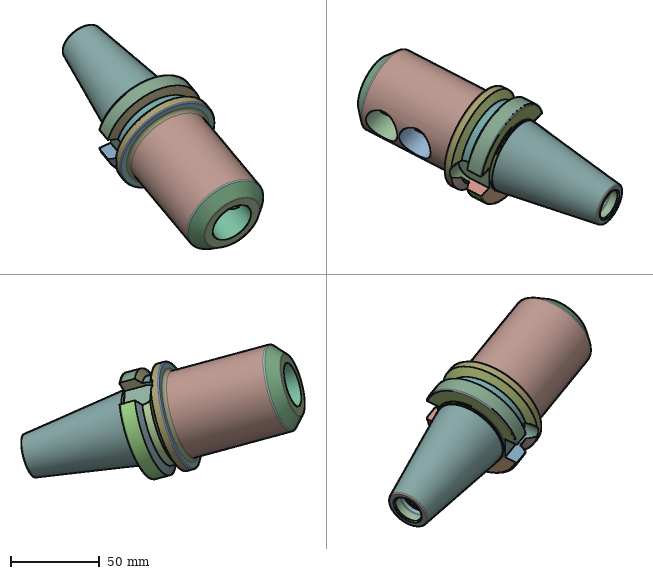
import cadquery as cq
import math

length = 160.6
gauge_x = 65.4
flange_start_x = 67.3
flange_end_x = 92.0

taper_ratio = 7 / 24
gauge_diameter = 44.5
gauge_radius = gauge_diameter / 2
taper_tip_radius = gauge_radius - gauge_x * taper_ratio / 2
tip_round = 0.8
relief_radius = 22.0
relief_round = 0.6

flange_radius = 31.5
collar_radius = 31.3
flange_edge_round = 0.8
groove_radius = 26.3
groove_floor_start_x = 79.4
groove_floor_end_x = 84.2
collar_flank_run = 2.4
flange_flank_run = (flange_radius - groove_radius) * math.tan(math.radians(30))

body_radius = 25.4
neck_round = 2.1
end_chamfer = 7.0
chamfer_edge_round = 1.3
chamfer_tip_round = 0.6

slot_width = 16.0
slot_floor_y = 22.5
slot_end_x = 88.2

through_diameter = 13.8
pilot_diameter = 17.4
pilot_depth = 5.8
seat_diameter = 17.0
seat_depth = 9.0
seat_lead_in = 0.6
pilot_mouth_diameter = 19.0
pilot_chamfer = (pilot_mouth_diameter - pilot_diameter) / 2

tool_bore_diameter = 25.4
tool_bore_depth = 57.8
screw_diameter = 21.5
screw_spacing = 23.0
first_screw_x = 116.3


def make_outer_body():
    outline = [
        (0, 0),
        (0, taper_tip_radius),
        (gauge_x, gauge_radius),
        (gauge_x, relief_radius),
        (flange_start_x, relief_radius),
        (flange_start_x, collar_radius),
        (groove_floor_start_x - collar_flank_run, collar_radius),
        (groove_floor_start_x, groove_radius),
        (groove_floor_end_x, groove_radius),
        (groove_floor_end_x + flange_flank_run, flange_radius),
        (flange_end_x, flange_radius),
        (flange_end_x, body_radius),
        (length - end_chamfer, body_radius),
        (length, body_radius - end_chamfer),
        (length, 0),
    ]
    body = cq.Workplane("XY").polyline(outline).close().revolve(360, (0, 0, 0), (1, 0, 0))
    rounds = [
        (0, taper_tip_radius, tip_round),
        (flange_start_x, relief_radius, relief_round),
        (flange_start_x, collar_radius, flange_edge_round),
        (flange_end_x, flange_radius, flange_edge_round),
        (flange_end_x, body_radius, neck_round),
        (length - end_chamfer, body_radius, chamfer_edge_round),
        (length, body_radius - end_chamfer, chamfer_tip_round),
    ]
    for x, radius, round_radius in rounds:
        body = body.edges(circle_at(x, radius)).fillet(round_radius)
    return body


def circle_at(x, radius):
    """Select the circular edge of the given radius centred on the axis at x."""
    reach = 0.02
    return cq.selectors.BoxSelector(
        (x - reach, -radius - reach, -radius - reach),
        (x + reach, radius + reach, radius + reach),
        boundingbox=True,
    ) - cq.selectors.BoxSelector(
        (x - reach, -radius + reach, -radius + reach),
        (x + reach, radius - reach, radius - reach),
        boundingbox=True,
    )


def make_drive_slot(side):
    """Slot open toward the taper, with a full-round end; side is +1 or -1 along Y."""
    half_width = slot_width / 2
    round_centre_x = slot_end_x - half_width
    return (
        cq.Workplane("XZ", origin=(0, side * slot_floor_y, 0))
        .moveTo(gauge_x, -half_width)
        .lineTo(round_centre_x, -half_width)
        .threePointArc((slot_end_x, 0), (round_centre_x, half_width))
        .lineTo(gauge_x, half_width)
        .close()
        .extrude(-side * flange_radius)
    )


def make_cone(start_x, start_diameter, end_diameter, depth):
    """Cone frustum on the axis, running toward +X."""
    cone = cq.Solid.makeCone(
        start_diameter / 2,
        end_diameter / 2,
        depth,
        cq.Vector(start_x, 0, 0),
        cq.Vector(1, 0, 0),
    )
    return cq.Workplane(cone)


def make_bores():
    axis_start = cq.Workplane("YZ")
    through = axis_start.circle(through_diameter / 2).extrude(length)
    pilot = axis_start.circle(pilot_diameter / 2).extrude(pilot_depth)
    seat = axis_start.circle(seat_diameter / 2).extrude(seat_depth)
    mouth = make_cone(0, pilot_mouth_diameter, pilot_diameter, pilot_chamfer)
    lead_in = make_cone(pilot_depth, pilot_diameter, seat_diameter, seat_lead_in)
    tool_bore = (
        cq.Workplane("YZ", origin=(length, 0, 0))
        .circle(tool_bore_diameter / 2)
        .extrude(-tool_bore_depth)
    )
    return through.union(seat).union(pilot).union(mouth).union(lead_in).union(tool_bore)


def make_screw_hole(x):
    """Clamping screw hole running from the axis out through the +Y side."""
    return (
        cq.Workplane("XZ", origin=(x, 0, 0))
        .circle(screw_diameter / 2)
        .extrude(-flange_radius)
    )


result = make_outer_body().cut(make_bores())
for slot_side in (-1, 1):
    result = result.cut(make_drive_slot(slot_side))
for screw_index in range(2):
    result = result.cut(make_screw_hole(first_screw_x + screw_index * screw_spacing))